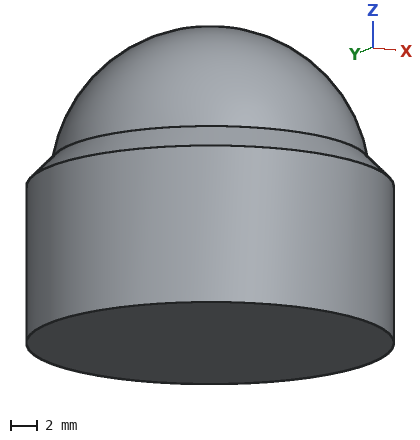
import cadquery as cq
import math

body_diameter = 27.5
total_height = 24.0
body_height = total_height / 2
shoulder_height = 1.92

dome_radius = total_height - body_height
dome_base_radius = math.sqrt(dome_radius**2 - shoulder_height**2)
shoulder_top = body_height + shoulder_height

base_angle = math.asin(shoulder_height / dome_radius)
middle_angle = (base_angle + math.pi / 2) / 2
dome_middle = (
    dome_radius * math.cos(middle_angle),
    body_height + dome_radius * math.sin(middle_angle),
)

body_radius = body_diameter / 2
profile = (
    cq.Workplane("XZ")
    .lineTo(body_radius, 0)
    .lineTo(body_radius, body_height)
    .lineTo(dome_base_radius, shoulder_top)
    .threePointArc(dome_middle, (0, total_height))
    .close()
)
result = profile.revolve(360, (0, 0, 0), (0, 1, 0))